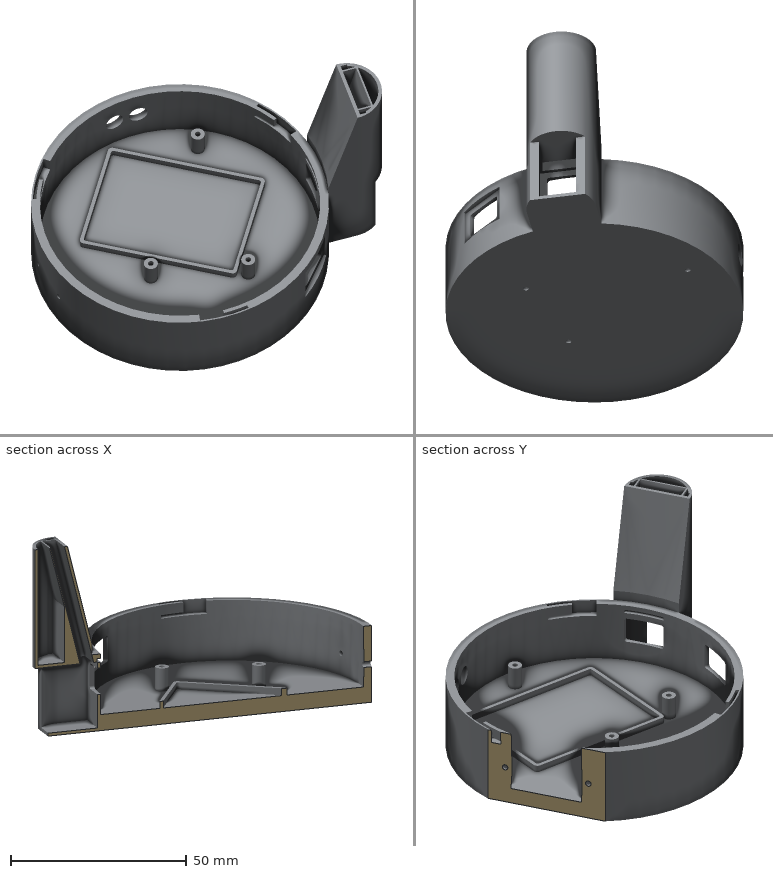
import cadquery as cq
import math

cup_diameter = 85.0
bore_diameter = 80.0
cup_height = 23.0
floor_thickness = 4.9
cup_radius = cup_diameter / 2
bore_radius = bore_diameter / 2
wall = cup_radius - bore_radius

overall_length = 102.5
handle_height = 56.0
handle_width = 20.0
handle_radius = handle_width / 2
handle_axis_y = overall_length - cup_radius - handle_radius
slope_start_z = 26.0
back_flat_y = 56.0
back_flat_height = 20.5

handle_wall = 1.0
partition = 0.5
pocket_floor_z = back_flat_height + handle_wall
duct_width = 13.9
duct_depth = 4.0
duct_front_y = handle_axis_y + handle_wall
corner_slot_reach = 9.0
corner_slot_depth = 1.8

window_width = 12.0
window_bottom = 11.0
window_top = 18.7
window_corner = 0.7
side_window_angle = 50.4
recess_start = 41.0
recess_width = 16.0
recess_bottom = 9.0
recess_top = 20.4
cavity_floor_z = 1.0
snap_groove_bottom = 20.5
snap_groove_height = 1.0
snap_groove_depth = 1.0

bayonet_angles = (0, 120, 240)
bayonet_sweep = 10
bayonet_radius = 42.0
bayonet_lip_radius = 41.0
bayonet_floor_z = 19.0
bayonet_lip_bottom = 20.0

post_diameter = 4.0
post_hole_diameter = 1.6
post_top_z = 11.8
post_centres = ((-29.9, 15.0), (17.0, 15.0), (9.8, -11.9))
frame_length = 46.1
frame_width = 35.1
frame_wall = 1.0
frame_height = 2.0
frame_corner = 1.2
frame_centre = (-9.6, 0.8)
frame_angle = 58

front_hole_diameter = 1.5
front_hole_z = 11.5
front_hole_pitch = 12.7
sensor_angles = (179.5, 190)
sensor_z = 14.4
sensor_outer_diameter = 6.6
sensor_inner_diameter = 5.5


def box(x0, x1, y0, y1, z0, z1):
    """Axis-aligned block between two opposite corners."""
    return cq.Workplane("XY").box(x1 - x0, y1 - y0, z1 - z0, centered=False).translate((x0, y0, z0))


def cylinder(radius, z0, z1, x=0, y=0):
    """Upright cylinder from z0 to z1."""
    return cq.Workplane("XY").workplane(offset=z0).center(x, y).circle(radius).extrude(z1 - z0)


def polar(radius, angle):
    """Point at a radius and an angle in degrees."""
    return radius * math.cos(math.radians(angle)), radius * math.sin(math.radians(angle))


def ring_sector(inner, outer, start, end, z0, z1):
    """Piece of a ring between two angles."""
    middle = (start + end) / 2
    return (
        cq.Workplane("XY")
        .workplane(offset=z0)
        .moveTo(*polar(inner, start))
        .lineTo(*polar(outer, start))
        .threePointArc(polar(outer, middle), polar(outer, end))
        .lineTo(*polar(inner, end))
        .threePointArc(polar(inner, middle), polar(inner, start))
        .close()
        .extrude(z1 - z0)
    )


def handle_blank():
    """Handle outline: straight sides, round back, front ruled from the cup's arc to a straight top edge."""
    blank = box(-handle_radius, handle_radius, 0, handle_axis_y, 0, handle_height)
    blank = blank.union(cylinder(handle_radius, 0, handle_height, y=handle_axis_y))
    blank = blank.cut(cylinder(bore_radius, 0, handle_height))

    reach = handle_radius + wall
    arc_end_y = math.sqrt(cup_radius**2 - reach**2)
    front_cut = (
        cq.Workplane("XY")
        .workplane(offset=slope_start_z)
        .moveTo(-reach, 0)
        .lineTo(-reach, arc_end_y)
        .threePointArc((0, cup_radius), (reach, arc_end_y))
        .lineTo(reach, 0)
        .close()
        .workplane(offset=handle_height - slope_start_z)
        .moveTo(-reach, 0)
        .lineTo(-reach, handle_axis_y)
        .lineTo(reach, handle_axis_y)
        .lineTo(reach, 0)
        .close()
        .loft(ruled=True)
    )
    lower_front = cylinder(cup_radius, cup_height, slope_start_z)
    back_flat = box(-handle_width, handle_width, back_flat_y, overall_length, 0, back_flat_height)
    return blank.cut(front_cut).cut(lower_front).cut(back_flat)


def leaning_block(half_width, front_y, back_y):
    """Block leaning back parallel to the handle's sloping front; front_y and back_y hold at the top."""
    rise = handle_height - back_flat_height
    lean = rise * (handle_axis_y - cup_radius) / (handle_height - slope_start_z)
    return (
        cq.Workplane("YZ")
        .moveTo(front_y, handle_height)
        .lineTo(back_y, handle_height)
        .lineTo(back_y - lean, back_flat_height)
        .lineTo(front_y - lean, back_flat_height)
        .close()
        .extrude(half_width, both=True)
    )


def handle_pockets():
    """Round pocket with side slots, kept apart by thin partitions from a leaning rectangular duct."""
    duct_half = duct_width / 2
    duct_back_y = duct_front_y + duct_depth
    round_pocket = cylinder(handle_radius - handle_wall, pocket_floor_z, handle_height, y=handle_axis_y)
    slots = box(
        -corner_slot_reach, corner_slot_reach,
        duct_front_y, duct_front_y + corner_slot_depth,
        pocket_floor_z, handle_height,
    )
    behind_front_wall = box(
        -handle_width, handle_width, duct_front_y, overall_length, pocket_floor_z, handle_height
    )
    duct_shell = leaning_block(duct_half + partition, handle_axis_y, duct_back_y + partition)
    duct = leaning_block(duct_half, duct_front_y, duct_back_y)
    return round_pocket.union(slots).intersect(behind_front_wall).cut(duct_shell).union(duct)


def handle_cavity():
    """Round-backed hollow low in the handle, open through the flat back and joined to the duct."""
    half = recess_width / 2
    front = box(-half, half, recess_start, handle_axis_y, cavity_floor_z, back_flat_height)
    return front.union(cylinder(half, cavity_floor_z, back_flat_height, y=handle_axis_y))


def side_recess():
    """Wider recess in the outside of the wall around the side window."""
    block = box(recess_start, cup_diameter, -recess_width / 2, recess_width / 2, recess_bottom, recess_top)
    return block.rotate((0, 0, 0), (0, 0, 1), side_window_angle)


def window(angle):
    """Round-cornered window through the cup wall at an angle."""
    block = (
        box(bore_radius - wall / 2, cup_radius + wall / 2,
            -window_width / 2, window_width / 2, window_bottom, window_top)
        .edges("|X")
        .fillet(window_corner)
    )
    return block.rotate((0, 0, 0), (0, 0, 1), angle)


def snap_groove():
    """Shallow groove in the bore above the rear window."""
    depth_limit = bore_radius + snap_groove_depth
    groove_top = snap_groove_bottom + snap_groove_height
    band = box(-window_width / 2, window_width / 2, 0, depth_limit, snap_groove_bottom, groove_top)
    return band.intersect(cylinder(depth_limit, 0, cup_height))


def bayonet_slot(angle):
    """Entry open at the rim, then an undercut behind and below a lip."""
    inner = bore_radius - wall
    entry = ring_sector(inner, bayonet_radius, angle - bayonet_sweep, angle, bayonet_floor_z, cup_height)
    end = angle + bayonet_sweep
    under_lip = ring_sector(inner, bayonet_radius, angle, end, bayonet_floor_z, bayonet_lip_bottom)
    behind_lip = ring_sector(bayonet_lip_radius, bayonet_radius, angle, end, bayonet_floor_z, cup_height)
    return entry.union(under_lip).union(behind_lip)


def sensor_hole(angle):
    """Radial hole through the wall, narrowing inwards."""
    outer_radius = sensor_outer_diameter / 2
    taper = (outer_radius - sensor_inner_diameter / 2) / wall
    cone = cq.Solid.makeCone(
        outer_radius - 2 * taper * wall,
        outer_radius + taper * wall,
        3 * wall,
        cq.Vector(bore_radius - wall, 0, sensor_z),
        cq.Vector(1, 0, 0),
    )
    return cq.Workplane(cone).rotate((0, 0, 0), (0, 0, 1), angle)


def battery_frame():
    """Low rectangular rim standing on the cup floor."""
    inner_corner = frame_corner - frame_wall / 2
    outer = cq.Workplane("XY").rect(frame_length, frame_width).extrude(frame_height)
    outer = outer.edges("|Z").fillet(frame_corner)
    inner = cq.Workplane("XY").rect(frame_length - 2 * frame_wall, frame_width - 2 * frame_wall)
    inner = inner.extrude(frame_height).edges("|Z").fillet(inner_corner)
    frame = outer.cut(inner).rotate((0, 0, 0), (0, 0, 1), frame_angle)
    return frame.translate((*frame_centre, floor_thickness))


result = cylinder(cup_radius, 0, cup_height).cut(cylinder(bore_radius, floor_thickness, cup_height))
result = result.union(handle_blank())
result = result.cut(handle_pockets()).cut(handle_cavity())

result = result.cut(side_recess())
for window_angle in (90, side_window_angle):
    result = result.cut(window(window_angle))
result = result.cut(snap_groove())
for bayonet_angle in bayonet_angles:
    result = result.cut(bayonet_slot(bayonet_angle))
for sensor_angle in sensor_angles:
    result = result.cut(sensor_hole(sensor_angle))
front_holes = (
    cq.Workplane("XZ")
    .pushPoints([(x, front_hole_z) for x in (-front_hole_pitch, 0, front_hole_pitch)])
    .circle(front_hole_diameter / 2)
    .extrude(cup_diameter)
)
result = result.cut(front_holes)

result = result.union(battery_frame())
for x, y in post_centres:
    result = result.union(cylinder(post_diameter / 2, 0, post_top_z, x, y))
    result = result.cut(cylinder(post_hole_diameter / 2, 0, post_top_z, x, y))